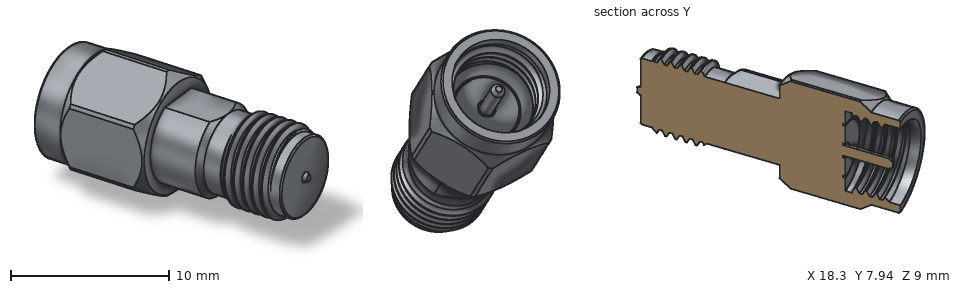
import cadquery as cq
import math

total_length = 18.29

collar_diameter = 7.75
collar_length = 2.01
collar_chamfer = 0.11
hex_across_flats = 7.94
hex_corner_diameter = 9.0
hex_end = 8.4
hex_bevel_length = 0.77

body_diameter = 6.35
body_end = 11.8
body_across_flats = 5.58
neck_diameter = 5.58
neck_start = body_end + (body_diameter - neck_diameter) / 2
neck_end = 18.03
neck_chamfer = 0.11

thread_start = 13.45
thread_end = 17.25
thread_turns = 5.4
thread_pitch = (thread_end - thread_start) / thread_turns
ridge_base_width = 0.53
ridge_crest_width = 0.11
ridge_overlap = 0.05
outer_crest_position = 14.52
inner_crest_position = 1.34

bore_diameter = 6.35
inner_crest_diameter = 5.58
inner_thread_start = 0.77
inner_thread_end = 3.35
relief_diameter = 6.6
cavity_depth = 3.8
insulator_diameter = 4.22
insulator_hole_diameter = 4.45
pin_diameter = 0.91
pin_hole_diameter = 1.17
ring_gap_depth = 0.18
pin_start = 0.51
pin_tip_diameter = 0.42
pin_tip_length = 0.3
jack_tip_diameter = 0.73


def revolve_about_x(points):
    """Revolve an outline of (x, radius) points about the X axis."""
    return cq.Workplane("XY").polyline(points).close().revolve(360, (0, 0, 0), (1, 0, 0))


def cylinder(start, end, diameter):
    return cq.Workplane("YZ", origin=(start, 0, 0)).circle(diameter / 2).extrude(end - start)


def ring(start, end, outer_diameter, inner_diameter):
    return (
        cq.Workplane("YZ", origin=(start, 0, 0))
        .circle(outer_diameter / 2)
        .circle(inner_diameter / 2)
        .extrude(end - start)
    )


def thread_ridge(wall_radius, crest_radius, crest_position, start, end):
    """Helical ridge that covers start to end, with a crest at crest_position on the +Z side."""
    turns_before = math.ceil((crest_position - start) / thread_pitch) + 1
    first_crest = crest_position - turns_before * thread_pitch
    turns = math.ceil((end - first_crest) / thread_pitch) + 1
    outward = math.copysign(1, crest_radius - wall_radius)
    flank_slope = (ridge_base_width - ridge_crest_width) / 2 / abs(crest_radius - wall_radius)
    root_half_width = ridge_base_width / 2 + ridge_overlap * flank_slope
    crest_half_width = ridge_crest_width / 2
    root_radius = wall_radius - outward * ridge_overlap
    profile = (
        cq.Workplane("XZ")
        .polyline(
            [
                (root_radius, -root_half_width),
                (crest_radius, -crest_half_width),
                (crest_radius, crest_half_width),
                (root_radius, root_half_width),
            ]
        )
        .close()
    )
    helix = cq.Wire.makeHelix(thread_pitch, turns * thread_pitch, wall_radius)
    ridge = profile.sweep(cq.Workplane(obj=helix), isFrenet=True)
    ridge = ridge.rotate((0, 0, 0), (0, 1, 0), 90).rotate((0, 0, 0), (1, 0, 0), 180)
    return ridge.translate((first_crest, 0, 0))


def coupling_nut():
    collar = cylinder(0, hex_end, collar_diameter).faces("<X").chamfer(collar_chamfer)
    hexagon = (
        cq.Workplane("YZ", origin=(collar_length, 0, 0))
        .polygon(6, hex_across_flats / math.cos(math.pi / 6))
        .extrude(hex_end - collar_length)
        .rotate((0, 0, 0), (1, 0, 0), 30)
    )
    bevels = revolve_about_x(
        [
            (collar_length, 0),
            (collar_length, collar_diameter / 2),
            (collar_length + hex_bevel_length, hex_corner_diameter / 2),
            (hex_end - hex_bevel_length, hex_corner_diameter / 2),
            (hex_end, collar_diameter / 2),
            (hex_end, 0),
        ]
    )
    return collar.union(hexagon.intersect(bevels))


def jack_body():
    body = revolve_about_x(
        [
            (cavity_depth, 0),
            (cavity_depth, body_diameter / 2),
            (body_end, body_diameter / 2),
            (neck_start, neck_diameter / 2),
            (neck_start, 0),
        ]
    )
    flats = cq.Workplane("XY").box(2 * total_length, body_diameter, body_across_flats)
    neck = cylinder(neck_start, neck_end, neck_diameter).faces(">X").chamfer(neck_chamfer)
    return body.intersect(flats).union(neck)


def jack_thread():
    wall_radius = neck_diameter / 2
    crest_radius = body_diameter / 2
    core_radius = wall_radius - 2 * ridge_overlap
    half_length = (thread_end - thread_start) / 2
    tapered_ends = revolve_about_x(
        [
            (thread_start, core_radius),
            (thread_start, wall_radius),
            (thread_start + half_length, wall_radius + half_length),
            (thread_end, wall_radius),
            (thread_end, core_radius),
        ]
    )
    ridge = thread_ridge(wall_radius, crest_radius, outer_crest_position, thread_start, thread_end)
    return ridge.intersect(tapered_ends)


def nut_thread():
    sunk_depth = 2 * ridge_overlap
    thread_space_depth = 0.55
    ridge = thread_ridge(
        bore_diameter / 2, inner_crest_diameter / 2, inner_crest_position, inner_thread_start, inner_thread_end
    )
    wall_radius = bore_diameter / 2
    outer_radius = wall_radius + sunk_depth
    inner_radius = wall_radius - thread_space_depth
    thread_space = revolve_about_x(
        [
            (inner_thread_start - sunk_depth, outer_radius),
            (inner_thread_start + thread_space_depth, inner_radius),
            (inner_thread_end, inner_radius),
            (inner_thread_end, outer_radius),
        ]
    )
    return ridge.intersect(thread_space)


def contact_pin():
    return revolve_about_x(
        [
            (pin_start, 0),
            (pin_start, pin_tip_diameter / 2),
            (pin_start + pin_tip_length, pin_diameter / 2),
            (cavity_depth + ring_gap_depth, pin_diameter / 2),
            (cavity_depth + ring_gap_depth, 0),
        ]
    )


def jack_tip():
    return revolve_about_x(
        [
            (neck_end, 0),
            (neck_end, jack_tip_diameter / 2),
            (total_length, pin_tip_diameter / 2),
            (total_length, 0),
        ]
    )


cavity = cylinder(0, cavity_depth, bore_diameter)
thread_relief = cylinder(inner_thread_end, cavity_depth, relief_diameter)
gap_end = cavity_depth + ring_gap_depth
insulator_gap = ring(cavity_depth, gap_end, insulator_hole_diameter, insulator_diameter)
pin_gap = ring(cavity_depth, gap_end, pin_hole_diameter, pin_diameter)

result = coupling_nut().cut(cavity).cut(thread_relief).union(jack_body())
result = result.cut(insulator_gap).cut(pin_gap)
result = result.union(contact_pin()).union(jack_tip())
result = result.union(nut_thread()).union(jack_thread())